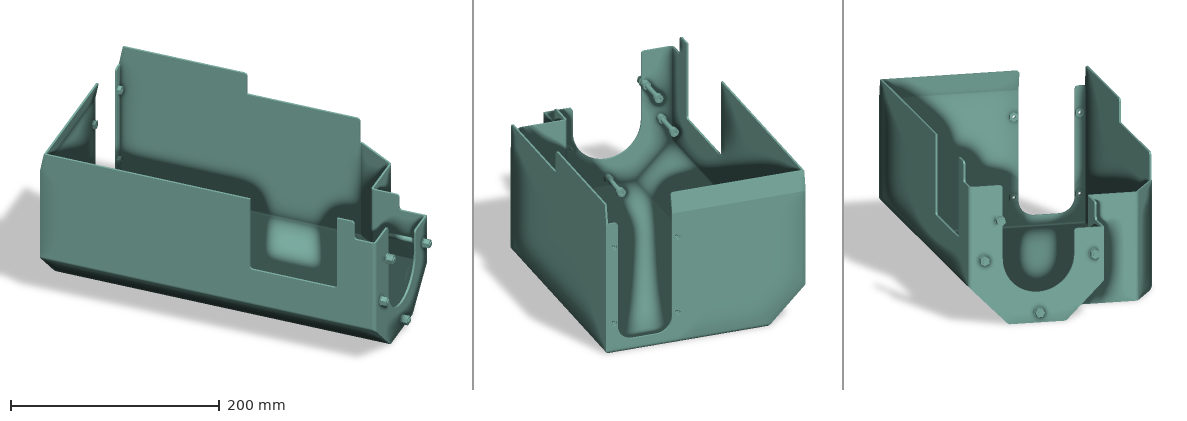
import cadquery as cq
import math

SHEET = 2.02
HEIGHT = 158.0
DEPTH = 205.3
LENGTH = 346.0
MAIN_LENGTH = 290.3
SIDE_DEPTH = 133.5
SLANT_START_X = 250.3
SLANT_END_Y = 181.0
BEVEL = 39.0
SIDE_BEVEL = 37.5
BEND_RADIUS = 4.0
SLANT_BEND_RADIUS = 5.3
STEP_BEND_RADIUS = 1.5
LEAN_Z = 138.0
LEAN_INSET = 4.0

CORNER_RADIUS = 3.0
NOTCH_START_X = 216.3
NOTCH_END_X = 306.2
NOTCH_Z = 78.2
FRONT_POST_X = 324.0
BACK_STEP_X = 131.7
BACK_STEP_Z = 134.5
BACK_END_X = 248.0
SLANT_WALL_Z = 107.5
SIDE_STEP_X = 317.5
SIDE_STEP_Z = 90.5
DOORWAY_START_Y = 137.5
DOORWAY_END_Y = 193.3
DOORWAY_Z = 12.7
DOORWAY_RADIUS = 16.0

BORE_Y = 68.5
BORE_Z = 65.5
BORE_RADIUS = 35.5
SCREW_CIRCLE_RADIUS = 54.5
SCREW_ANGLES = (0, 135, 180, 270)
SCREW_START_X = 306.0
SCREW_END_X = 354.0
SCREW_DIAMETER = 5.0
HEAD_DIAMETER = 8.5
HEAD_LENGTH = 5.0
SOCKET_DEPTH = 2.5
SOCKET_FLATS = 4.0
SPACER_DIAMETER = 8.0
SPACER_LENGTH = 6.7
WASHER_DIAMETER = 10.0
WASHER_THICKNESS = 1.0
SCREW_NUT_FLATS = 8.0
SCREW_NUT_HEIGHT = 6.0

NUT_Y = (132.0, 197.2)
NUT_Z = (32.2, 112.2)
NUT_HOLE_DIAMETER = 6.0
NUT_BORE_DIAMETER = 3.25
NUT_FLATS = 8.0
NUT_HEIGHT = 3.5

MARGIN = 3.5


def box(x_range, y_range, z_range):
    """Block between two limits on each axis."""
    (x0, x1), (y0, y1), (z0, z1) = x_range, y_range, z_range
    return cq.Workplane("XY").box(x1 - x0, y1 - y0, z1 - z0, centered=False).translate((x0, y0, z0))


def rod(x, y, z, diameter, length):
    """Cylinder along +X."""
    return cq.Workplane("YZ", origin=(x, y, z)).circle(diameter / 2).extrude(length)


def hex_rod(x, y, z, flats, length, turn):
    """Hexagonal prism along +X; the turn in degrees is from one corner along Y."""
    corner_diameter = flats / math.cos(math.pi / 6)
    prism = cq.Workplane("YZ", origin=(x, y, z)).polygon(6, corner_diameter).extrude(length)
    return prism.rotate((x, y, z), (x + 3.5, y, z), turn)


def nearest(point):
    """Selector for the edge whose middle is nearest to the point."""
    return cq.selectors.NearestToPointSelector(point)


def bend(solid, radius, *points):
    """Round together the edges whose middles are nearest to the points."""
    edges = solid.edges(nearest(points[0]))
    for point in points[1:]:
        edges = edges.add(solid.edges(nearest(point)))
    return edges.fillet(radius)


def round_corners(tray, points):
    """Round the corners in the wall outlines that lie nearest to the points."""
    for point in points:
        tray = bend(tray, CORNER_RADIUS, point)
    return tray


def tray_block(inset):
    """Solid block with the tray's outside shape, all faces but the top moved inward by the inset."""
    plan = [
        (0, 0),
        (LENGTH, 0),
        (LENGTH, SIDE_DEPTH),
        (MAIN_LENGTH, SIDE_DEPTH),
        (MAIN_LENGTH, SLANT_END_Y),
        (SLANT_START_X, DEPTH),
        (0, DEPTH),
    ]
    outline = cq.Workplane("XY", origin=(0, 0, inset)).polyline(plan).close()
    if inset:
        outline = outline.offset2D(-inset, "intersection")
    block = outline.extrude(HEIGHT - inset)

    bevel_shift = inset * math.sqrt(2)
    bevel = BEVEL + bevel_shift
    side_bevel = SIDE_BEVEL + bevel_shift
    side_y = SIDE_DEPTH
    side_start_x = MAIN_LENGTH - inset
    lean_shift = inset * math.hypot(HEIGHT - LEAN_Z, LEAN_INSET) / (HEIGHT - LEAN_Z)
    front_wedge = cq.Workplane("YZ").polyline([(0, 0), (bevel, 0), (0, bevel)]).close().extrude(LENGTH)
    side_wedge = (
        cq.Workplane("YZ", origin=(side_start_x, 0, 0))
        .polyline([(side_y, 0), (side_y - side_bevel, 0), (side_y, side_bevel)])
        .close()
        .extrude(LENGTH - side_start_x)
    )
    lean_profile = [
        (lean_shift, LEAN_Z),
        (lean_shift + LEAN_INSET, HEIGHT),
        (0, HEIGHT),
        (0, LEAN_Z),
    ]
    lean = cq.Workplane("XZ").polyline(lean_profile).close().extrude(-DEPTH)
    block = block.cut(front_wedge).cut(side_wedge).cut(lean)

    wall_middle_z = (BEVEL + HEIGHT) / 2
    bend_radius = BEND_RADIUS - inset
    step_corner = (side_start_x, SIDE_DEPTH - inset, wall_middle_z)
    slant_corner = (MAIN_LENGTH - inset, SLANT_END_Y, HEIGHT / 2)
    front_bevel_edge = (LENGTH / 2, inset, BEVEL)
    front_right_corner = (LENGTH - inset, inset, wall_middle_z)
    floor_back_edge = (SLANT_START_X / 2, DEPTH - inset, inset)
    floor_left_edge = (inset, (BEVEL + DEPTH) / 2, inset)
    front_floor_edge = (LENGTH / 2, BEVEL, inset)
    side_floor_edge = ((MAIN_LENGTH + LENGTH) / 2, SIDE_DEPTH - SIDE_BEVEL, inset)
    block = bend(block, STEP_BEND_RADIUS + inset, step_corner)
    block = bend(block, SLANT_BEND_RADIUS - inset, slant_corner)
    block = bend(block, bend_radius, front_bevel_edge, front_right_corner)
    block = bend(block, bend_radius, side_floor_edge)
    return bend(block, bend_radius, floor_back_edge, floor_left_edge, front_floor_edge)


def trim_front_wall(tray):
    """Notch the front wall and step its right-hand end down."""
    wall_y = (-MARGIN, SHEET + BEND_RADIUS)
    top = HEIGHT + MARGIN
    notch = box((NOTCH_START_X, NOTCH_END_X), wall_y, (NOTCH_Z, top))
    notch = notch.edges("|Y and <Z").fillet(CORNER_RADIUS)
    end_step = box((FRONT_POST_X, LENGTH + MARGIN), wall_y, (LEAN_Z, top))
    end_step = end_step.edges("|Y and <X and <Z").fillet(CORNER_RADIUS)
    tray = tray.cut(notch).cut(end_step)
    post_corner = (FRONT_POST_X, SHEET / 2, HEIGHT)
    return round_corners(tray, [post_corner])


def trim_back_walls(tray):
    """Step the back, slanted and side bay walls down towards the right."""
    top = HEIGHT + MARGIN
    rear_y = (DEPTH - SHEET - MARGIN, DEPTH + MARGIN)
    back_step = box((BACK_STEP_X, BACK_END_X), rear_y, (BACK_STEP_Z, top))
    slant_step = box((BACK_END_X, SIDE_STEP_X), (SIDE_DEPTH - MARGIN, DEPTH + MARGIN), (SLANT_WALL_Z, top))
    side_step = box((SIDE_STEP_X, LENGTH + MARGIN), (BORE_Y, SIDE_DEPTH + MARGIN), (SIDE_STEP_Z, top))
    tray = tray.cut(back_step).cut(slant_step).cut(side_step)
    corners = (
        (BACK_STEP_X, DEPTH - SHEET / 2, HEIGHT),
        (BACK_END_X, DEPTH - SHEET / 2, BACK_STEP_Z),
        (SIDE_STEP_X, SIDE_DEPTH - SHEET / 2, SLANT_WALL_Z),
        (SIDE_STEP_X, SIDE_DEPTH - SHEET / 2, SIDE_STEP_Z),
    )
    return round_corners(tray, corners)


def trim_right_wall(tray):
    """Lower the right wall and cut its round-bottomed opening."""
    wall_x = (LENGTH - SHEET - MARGIN, LENGTH + MARGIN)
    top = HEIGHT + MARGIN
    lowered = box(wall_x, (-MARGIN, BORE_Y), (LEAN_Z, top))
    opening = box(wall_x, (BORE_Y - BORE_RADIUS, BORE_Y + BORE_RADIUS), (BORE_Z, top))
    bore = rod(wall_x[0], BORE_Y, BORE_Z, 2 * BORE_RADIUS, wall_x[1] - wall_x[0])
    tray = tray.cut(lowered).cut(opening).cut(bore)
    corners = (
        (LENGTH - SHEET / 2, BORE_Y - BORE_RADIUS, LEAN_Z),
        (LENGTH - SHEET / 2, BORE_Y + BORE_RADIUS, SIDE_STEP_Z),
    )
    return round_corners(tray, corners)


def trim_left_wall(tray):
    """Cut the doorway in the left wall and lower the post behind it."""
    wall_x = (-MARGIN, LEAN_INSET + 2 * SHEET)
    top = HEIGHT + MARGIN
    doorway = box(wall_x, (DOORWAY_START_Y, DOORWAY_END_Y), (DOORWAY_Z, top))
    doorway = doorway.edges("|X and <Z").fillet(DOORWAY_RADIUS)
    post_top = box(wall_x, (DOORWAY_START_Y, DEPTH - SHEET), (LEAN_Z, top))
    tray = tray.cut(doorway).cut(post_top)
    lean_top_x = LEAN_INSET + SHEET / 2
    corners = (
        (lean_top_x, DOORWAY_START_Y, HEIGHT),
        (SHEET / 2, DOORWAY_END_Y, LEAN_Z),
    )
    return round_corners(tray, corners)


def add_doorway_nuts(tray):
    """Hexagon nuts inside the left wall, each behind a clear hole and with a flat towards the doorway."""
    for y in NUT_Y:
        for z in NUT_Z:
            hole = rod(0, y, z, NUT_HOLE_DIAMETER, SHEET)
            nut = hex_rod(SHEET, y, z, NUT_FLATS, NUT_HEIGHT, 90)
            nut = nut.cut(rod(SHEET, y, z, NUT_BORE_DIAMETER, NUT_HEIGHT))
            tray = tray.cut(hole).union(nut)
    return tray


def screw(y, z, turn):
    """Socket head screw through the right wall, with spacer, washer and nut."""
    wall_inside_x = LENGTH - SHEET
    nut_x = LENGTH + WASHER_THICKNESS
    shank = rod(SCREW_START_X, y, z, SCREW_DIAMETER, SCREW_END_X - SCREW_START_X)
    head = rod(SCREW_START_X, y, z, HEAD_DIAMETER, HEAD_LENGTH)
    socket = hex_rod(SCREW_START_X, y, z, SOCKET_FLATS, SOCKET_DEPTH, turn)
    spacer = rod(wall_inside_x - SPACER_LENGTH, y, z, SPACER_DIAMETER, SPACER_LENGTH)
    washer = rod(LENGTH, y, z, WASHER_DIAMETER, WASHER_THICKNESS)
    nut = hex_rod(nut_x, y, z, SCREW_NUT_FLATS, SCREW_NUT_HEIGHT, turn)
    return shank.union(head).cut(socket).union(spacer).union(washer).union(nut)


def add_screws(tray):
    """Screws on a circle around the right wall opening; a nut corner is tangent to the circle."""
    for angle in SCREW_ANGLES:
        y = BORE_Y + SCREW_CIRCLE_RADIUS * math.cos(math.radians(angle))
        z = BORE_Z + SCREW_CIRCLE_RADIUS * math.sin(math.radians(angle))
        tray = tray.union(screw(y, z, angle + 90))
    return tray


tray = tray_block(0).cut(tray_block(SHEET))
tray = trim_front_wall(tray)
tray = trim_back_walls(tray)
tray = trim_right_wall(tray)
tray = trim_left_wall(tray)
tray = add_doorway_nuts(tray)
result = add_screws(tray)